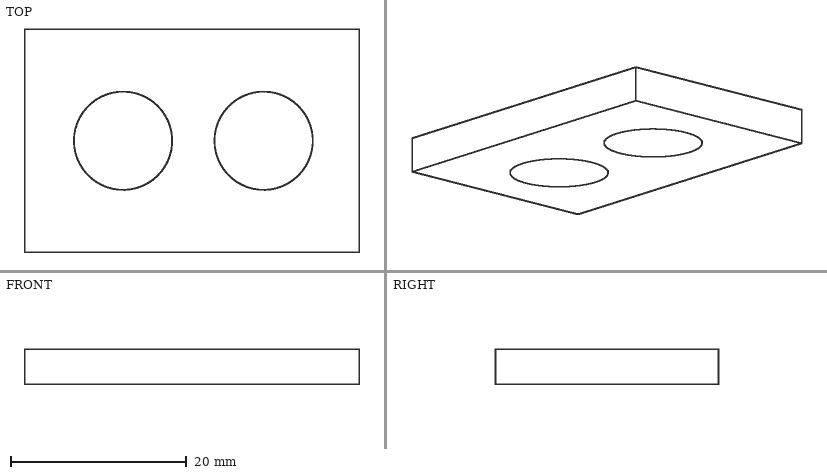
import cadquery as cq

plate_length = 38.1
plate_width = 25.4
plate_thickness = 4.0

hole_diameter = 11.15
hole_spacing = 16.0
hole_pair_offset = 0.15

plate = cq.Workplane("XY").box(plate_length, plate_width, plate_thickness)

hole_centers = [
    (hole_pair_offset + side * hole_spacing / 2, 0)
    for side in (-1, 1)
]
result = plate.faces(">Z").workplane().pushPoints(hole_centers).hole(hole_diameter)